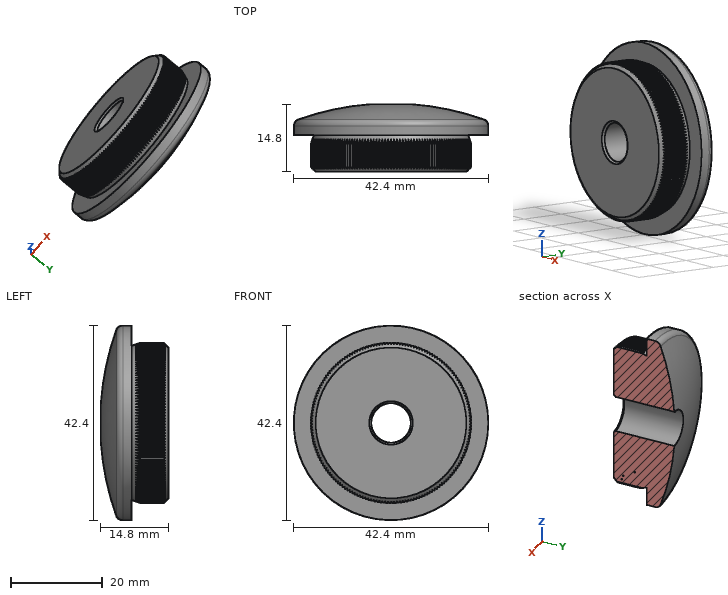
import cadquery as cq
import math

cap_radius = 21.2
cap_edge_radius = 1.5
cap_rim_width = 2.0
dome_radius = 60.0

plug_length = 8.0
plug_radius = 17.45
plug_chamfer = 1.05
neck_radius = 16.85
neck_length = 1.95

groove_count = 170
groove_depth = 0.35
groove_width = 0.42

bore_radius = 4.3
bore_chamfer = 0.45


def point_on_circle(radius, angle):
    return (radius * math.cos(angle), radius * math.sin(angle))


def make_cap():
    """Disc with a domed back; the rounded rim is tangent to the dome and to the side."""
    rim_end = plug_length + cap_rim_width
    edge_center_radius = cap_radius - cap_edge_radius
    dome_tilt = math.asin(edge_center_radius / (dome_radius - cap_edge_radius))
    dome_center = rim_end - (dome_radius - cap_edge_radius) * math.cos(dome_tilt)

    def edge_point(angle_from_axis):
        return (
            edge_center_radius + cap_edge_radius * math.sin(angle_from_axis),
            rim_end + cap_edge_radius * math.cos(angle_from_axis),
        )

    def dome_point(angle_from_axis):
        return (
            dome_radius * math.sin(angle_from_axis),
            dome_center + dome_radius * math.cos(angle_from_axis),
        )

    return (
        cq.Workplane("XY")
        .moveTo(0, plug_length)
        .lineTo(cap_radius, plug_length)
        .lineTo(cap_radius, rim_end)
        .threePointArc(edge_point((dome_tilt + math.pi / 2) / 2), edge_point(dome_tilt))
        .threePointArc(dome_point(dome_tilt / 2), dome_point(0))
        .close()
        .revolve(360, (0, 0, 0), (0, 1, 0))
    )


def make_plug_blank():
    """Plain plug with a chamfered front edge and a neck tapering in toward the cap."""
    return (
        cq.Workplane("XY")
        .polyline([
            (0, 0),
            (plug_radius - plug_chamfer, 0),
            (plug_radius, plug_chamfer),
            (plug_radius, plug_length - neck_length),
            (neck_radius, plug_length),
            (0, plug_length),
        ])
        .close()
        .revolve(360, (0, 0, 0), (0, 1, 0))
    )


def make_knurl_prism():
    """Straight prism whose outline has V grooves separated by round lands."""
    pitch = 2 * math.pi / groove_count
    half_groove = groove_width / plug_radius / 2
    first_groove = math.pi / 2
    outline = cq.Workplane("XZ").moveTo(*point_on_circle(plug_radius, first_groove - half_groove))
    for index in range(groove_count):
        groove_angle = first_groove + index * pitch
        land_start = groove_angle + half_groove
        land_middle = groove_angle + pitch / 2
        land_end = groove_angle + pitch - half_groove
        outline = (
            outline
            .lineTo(*point_on_circle(plug_radius - groove_depth, groove_angle))
            .lineTo(*point_on_circle(plug_radius, land_start))
            .threePointArc(
                point_on_circle(plug_radius, land_middle),
                point_on_circle(plug_radius, land_end),
            )
        )
    return outline.close().extrude(-plug_length)


def make_bore_cutter():
    """Through bore, countersunk at the plug face."""
    bore_end = plug_length + cap_radius
    return (
        cq.Workplane("XY")
        .polyline([
            (0, 0),
            (bore_radius + bore_chamfer, 0),
            (bore_radius, bore_chamfer),
            (bore_radius, bore_end),
            (0, bore_end),
        ])
        .close()
        .revolve(360, (0, 0, 0), (0, 1, 0))
    )


plug = make_plug_blank().intersect(make_knurl_prism())
result = make_cap().union(plug).cut(make_bore_cutter())